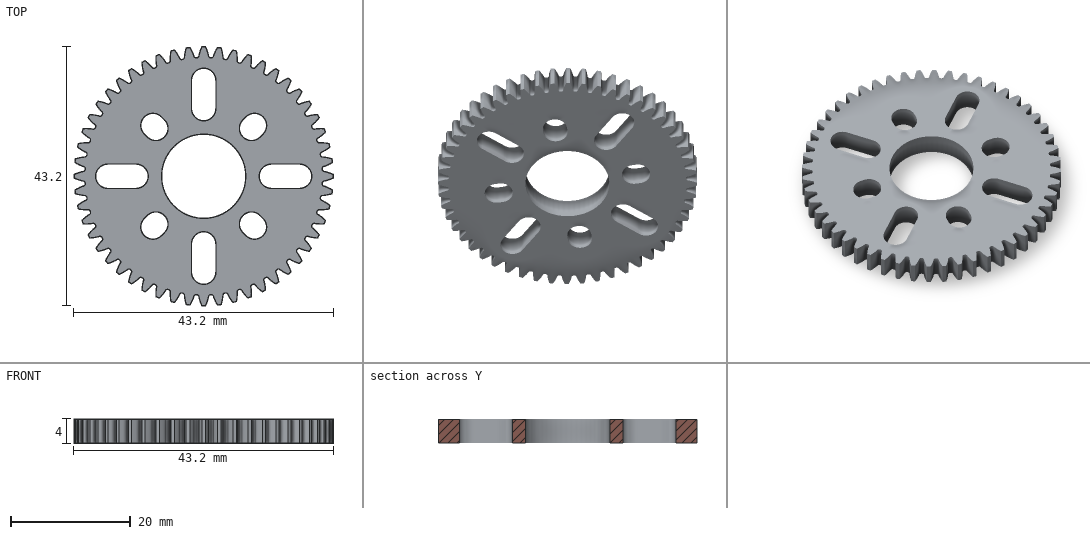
import cadquery as cq
import math

OUTER_DIAMETER = 43.2
THICKNESS = 4.0
BORE_DIAMETER = 14.0

TOOTH_COUNT = 52
PRESSURE_ANGLE = math.radians(20)
DEDENDUM_FACTOR = 1.25
ROOT_FILLET_RADIUS = 0.3

MODULE = OUTER_DIAMETER / (TOOTH_COUNT + 2)
TIP_RADIUS = OUTER_DIAMETER / 2
PITCH_RADIUS = MODULE * TOOTH_COUNT / 2
BASE_RADIUS = PITCH_RADIUS * math.cos(PRESSURE_ANGLE)
ROOT_RADIUS = PITCH_RADIUS - DEDENDUM_FACTOR * MODULE
FILLET_CENTRE_RADIUS = ROOT_RADIUS + ROOT_FILLET_RADIUS
FILLET_CENTRE_TANGENT = math.sqrt(FILLET_CENTRE_RADIUS**2 - BASE_RADIUS**2)
FLANK_START_RADIUS = math.hypot(BASE_RADIUS, FILLET_CENTRE_TANGENT + ROOT_FILLET_RADIUS)
TOOTH_PITCH = 2 * math.pi / TOOTH_COUNT

SLOT_WIDTH = 4.0
SLOT_INNER_CENTRE = 11.28
LONG_SLOT_OUTER_CENTRE = 16.0
SHORT_SLOT_OUTER_CENTRE = 11.95
SLOTS_PER_SET = 4
LONG_SLOT_START_ANGLE = 0.0
SHORT_SLOT_START_ANGLE = 45.0


def polar_point(radius, angle):
    return (radius * math.cos(angle), radius * math.sin(angle))


def involute(angle):
    return math.tan(angle) - angle


def half_tooth_angle(radius):
    """Angle from a tooth's centreline to its involute flank at the given radius."""
    local_pressure_angle = math.acos(BASE_RADIUS / radius)
    return TOOTH_PITCH / 4 + involute(PRESSURE_ANGLE) - involute(local_pressure_angle)


def fillet_middle_point(fillet_centre_angle, flank_start_angle):
    """Point halfway along the root fillet between the root circle and a flank."""
    centre_x, centre_y = polar_point(FILLET_CENTRE_RADIUS, fillet_centre_angle)
    root_x, root_y = polar_point(ROOT_RADIUS, fillet_centre_angle)
    flank_x, flank_y = polar_point(FLANK_START_RADIUS, flank_start_angle)
    towards_x = (root_x + flank_x) / 2 - centre_x
    towards_y = (root_y + flank_y) / 2 - centre_y
    stretch = ROOT_FILLET_RADIUS / math.hypot(towards_x, towards_y)
    return (centre_x + towards_x * stretch, centre_y + towards_y * stretch)


def make_gear_blank():
    fillet_centre = half_tooth_angle(FILLET_CENTRE_RADIUS) + ROOT_FILLET_RADIUS / BASE_RADIUS
    flank_start = half_tooth_angle(FLANK_START_RADIUS)
    flank_middle = half_tooth_angle(PITCH_RADIUS)
    flank_end = half_tooth_angle(TIP_RADIUS)

    outline = cq.Workplane("XY").moveTo(*polar_point(FLANK_START_RADIUS, -flank_start))
    for tooth in range(TOOTH_COUNT):
        centre = tooth * TOOTH_PITCH
        next_centre = centre + TOOTH_PITCH
        outline = outline.threePointArc(
            polar_point(PITCH_RADIUS, centre - flank_middle),
            polar_point(TIP_RADIUS, centre - flank_end),
        )
        outline = outline.threePointArc(
            polar_point(TIP_RADIUS, centre),
            polar_point(TIP_RADIUS, centre + flank_end),
        )
        outline = outline.threePointArc(
            polar_point(PITCH_RADIUS, centre + flank_middle),
            polar_point(FLANK_START_RADIUS, centre + flank_start),
        )
        outline = outline.threePointArc(
            fillet_middle_point(centre + fillet_centre, centre + flank_start),
            polar_point(ROOT_RADIUS, centre + fillet_centre),
        )
        outline = outline.threePointArc(
            polar_point(ROOT_RADIUS, centre + TOOTH_PITCH / 2),
            polar_point(ROOT_RADIUS, next_centre - fillet_centre),
        )
        outline = outline.threePointArc(
            fillet_middle_point(next_centre - fillet_centre, next_centre - flank_start),
            polar_point(FLANK_START_RADIUS, next_centre - flank_start),
        )
    return outline.close().extrude(THICKNESS)


def make_slot_cutters(outer_centre, start_angle):
    """Ring of equally spaced radial slots, as solids through the full thickness."""
    slot_length = outer_centre - SLOT_INNER_CENTRE + SLOT_WIDTH
    slot_middle = (SLOT_INNER_CENTRE + outer_centre) / 2
    return (
        cq.Workplane("XY")
        .polarArray(slot_middle, start_angle, 360, SLOTS_PER_SET)
        .slot2D(slot_length, SLOT_WIDTH)
        .extrude(THICKNESS)
    )


bore = cq.Workplane("XY").circle(BORE_DIAMETER / 2).extrude(THICKNESS)

result = (
    make_gear_blank()
    .cut(bore)
    .cut(make_slot_cutters(LONG_SLOT_OUTER_CENTRE, LONG_SLOT_START_ANGLE))
    .cut(make_slot_cutters(SHORT_SLOT_OUTER_CENTRE, SHORT_SLOT_START_ANGLE))
)